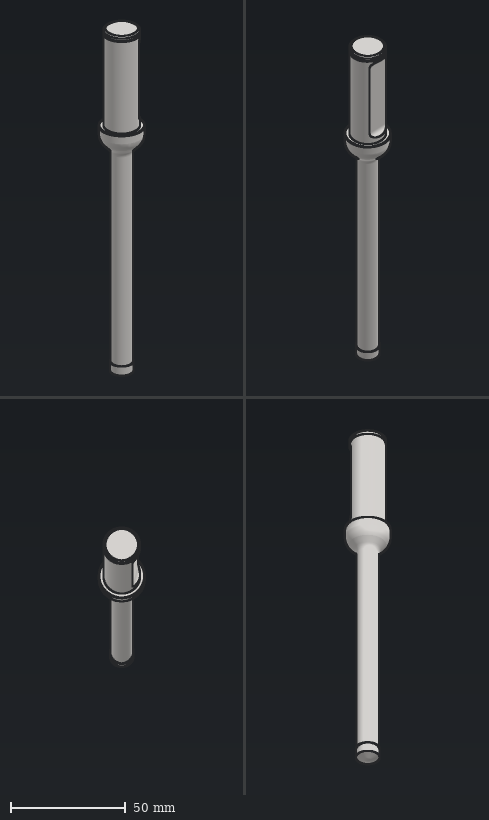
import cadquery as cq
import math

total_length = 170.0

tip_diameter = 10.4
tip_top = 6.5
point_angle = 140.0

neck_diameter = 9.9
neck_top = 109.0
neck_fillet = 3.5

collar_diameter = 20.0
collar_top = 122.4
collar_rim_bottom = 118.2
collar_shoulder_radius = 6.1
collar_edge_chamfer = 0.25
cone_slope = math.radians(45.0)

shank_diameter = 16.0
end_chamfer = 0.8
groove_top = 168.8
groove_bottom = 167.5
groove_depth = 0.25
flat_offset = 6.1
flat_bottom = 125.0
flat_top = 166.8
flat_end_radius = 3.0


def make_tip():
    """Cylindrical cutting tip with a conical point."""
    radius = tip_diameter / 2
    point_height = radius / math.tan(math.radians(point_angle / 2))
    profile = (
        cq.Workplane("XZ")
        .lineTo(radius, point_height)
        .lineTo(radius, tip_top)
        .lineTo(0, tip_top)
        .close()
    )
    return profile.revolve(360, (0, 0), (0, 1))


def make_turned_body():
    """Neck, flared collar and grooved shank as one revolved profile."""
    neck_radius = neck_diameter / 2
    collar_radius = collar_diameter / 2
    shank_radius = shank_diameter / 2
    half_slope = cone_slope / 2

    def neck_arc(angle):
        return (
            neck_radius + neck_fillet * (1 - math.cos(angle)),
            neck_top + neck_fillet * math.sin(angle),
        )

    def shoulder_arc(angle):
        return (
            collar_radius - collar_shoulder_radius * (1 - math.cos(angle)),
            collar_rim_bottom - collar_shoulder_radius * math.sin(angle),
        )

    profile = (
        cq.Workplane("XZ")
        .moveTo(0, tip_top)
        .lineTo(neck_radius, tip_top)
        .lineTo(neck_radius, neck_top)
        .threePointArc(neck_arc(half_slope), neck_arc(cone_slope))
        .lineTo(*shoulder_arc(cone_slope))
        .threePointArc(shoulder_arc(half_slope), (collar_radius, collar_rim_bottom))
        .lineTo(collar_radius, collar_top - collar_edge_chamfer)
        .lineTo(collar_radius - collar_edge_chamfer, collar_top)
        .lineTo(shank_radius, collar_top)
        .lineTo(shank_radius, groove_bottom)
        .lineTo(shank_radius - groove_depth, groove_bottom + groove_depth)
        .lineTo(shank_radius, groove_top)
        .lineTo(shank_radius, total_length - end_chamfer)
        .lineTo(shank_radius - end_chamfer, total_length)
        .lineTo(0, total_length)
        .close()
    )
    return profile.revolve(360, (0, 0), (0, 1))


def make_flat_cutter():
    """Block that mills the clamping flat, with rounded ends at its floor."""
    return (
        cq.Workplane("XY")
        .box(shank_diameter, shank_diameter, flat_top - flat_bottom, centered=(True, False, False))
        .translate((0, flat_offset, flat_bottom))
        .edges("|X and <Y")
        .fillet(flat_end_radius)
    )


tip = make_tip()
holder = make_turned_body().cut(make_flat_cutter())

result = cq.Compound.makeCompound([tip.val(), holder.val()])